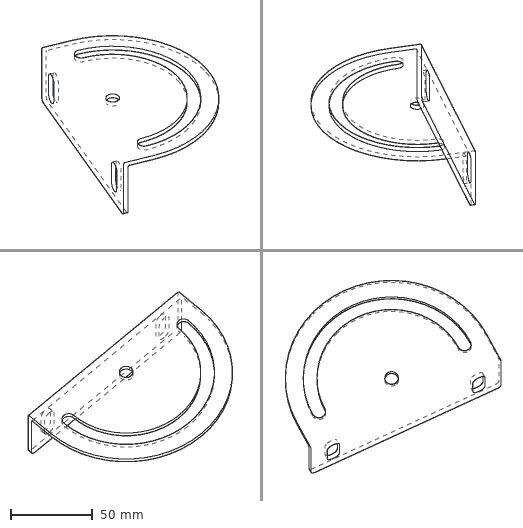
import cadquery as cq

width = 130.3
height = 40.0
thickness = 3.0
plate_radius = width / 2
pivot_to_front = 20.0
bend_radius = 1.0
flange_corner_radius = 3.0

opening_width = 8.3
slot_offset = 49.9
flange_slot_length = 20.8
flange_slot_drop = 20.8

front = -pivot_to_front
flange_back = front + thickness


def level_plate():
    """Plate with straight sides near the bend and a half-round far edge."""
    return (
        cq.Workplane("XY")
        .moveTo(-plate_radius, front)
        .lineTo(plate_radius, front)
        .lineTo(plate_radius, 0)
        .threePointArc((0, plate_radius), (-plate_radius, 0))
        .close()
        .extrude(-thickness)
    )


def flange():
    """Upright plate hanging at the front, with its two lower corners rounded."""
    return (
        cq.Workplane("XY")
        .box(width, thickness, height, centered=(True, False, False))
        .translate((0, front, -height))
        .edges("|Y and <Z")
        .fillet(flange_corner_radius)
    )


def round_bend(sheet):
    """Round the outside and the inside of the bend between plate and flange."""
    outer_edge = cq.selectors.NearestToPointSelector((0, front, 0))
    inner_edge = cq.selectors.NearestToPointSelector((0, flange_back, -thickness))
    sheet = sheet.edges(outer_edge).fillet(bend_radius)
    return sheet.edges(inner_edge).fillet(bend_radius)


def plate_openings():
    """Pivot hole and the half-circle slot around it, with round ends."""
    outer = slot_offset + opening_width / 2
    inner = slot_offset - opening_width / 2
    half_ring = (
        cq.Workplane("XY")
        .moveTo(outer, 0)
        .threePointArc((0, outer), (-outer, 0))
        .lineTo(-inner, 0)
        .threePointArc((0, inner), (inner, 0))
        .close()
        .extrude(-thickness)
    )
    round_holes = (
        cq.Workplane("XY")
        .pushPoints([(-slot_offset, 0), (0, 0), (slot_offset, 0)])
        .circle(opening_width / 2)
        .extrude(-thickness)
    )
    return half_ring.union(round_holes)


def flange_slots():
    """Pair of upright slots through the flange."""
    return (
        cq.Workplane("XZ", origin=(0, front, 0))
        .pushPoints([(side * slot_offset, -flange_slot_drop) for side in (-1, 1)])
        .slot2D(flange_slot_length, opening_width, 90)
        .extrude(-thickness)
    )


bracket = round_bend(level_plate().union(flange()))
result = bracket.cut(plate_openings()).cut(flange_slots())